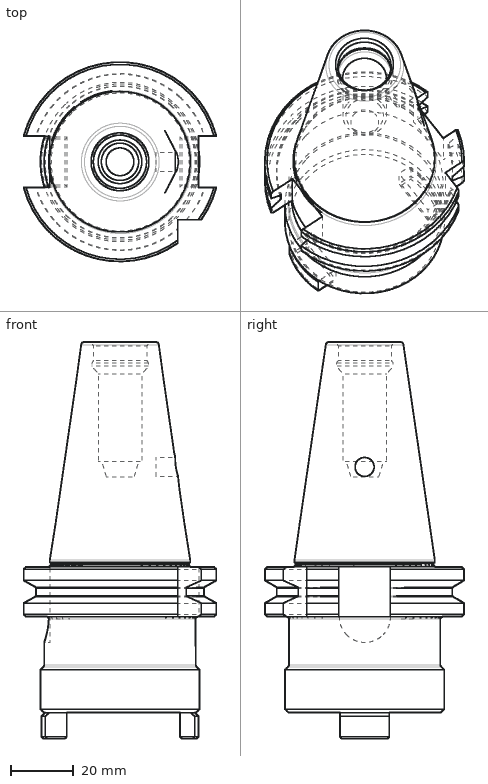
import cadquery as cq
import math

TOTAL_HEIGHT = 126.4
GAUGE_Z = 58.0
FLANGE_TOP = 54.7
FLANGE_BOTTOM = 38.9
COLLAR_BOTTOM = 8.3

TAPER_RATIO = 7 / 24
GAUGE_RADIUS = 22.2
TAPER_END_Z = 57.0
TIP_ROUND = 1.0
NECK_RADIUS = 22.0
TAPER_FOOT_Z = 56.2

FLANGE_DIAMETER = 63.6
FLANGE_RADIUS = FLANGE_DIAMETER / 2
FLANGE_CHAMFER = 0.8
FLANGE_FILLET = 0.8
GROOVE_DIAMETER = 56.0
GROOVE_RADIUS = GROOVE_DIAMETER / 2
GROOVE_MOUTH = 7.2
GROOVE_FLANK_ANGLE = 30.0
GROOVE_FILLET = 0.4

BODY_RADIUS = 24.1
COLLAR_RADIUS = 25.4
COLLAR_TOP = 22.0
COLLAR_CHAMFER = 1.1
BODY_FILLET = 1.0

SLOT_WIDTH = 16.3
DEEP_SLOT_X = 22.4
SHALLOW_SLOT_X = 25.0
NOTCH_OFFSET = 18.5

LUG_RADIUS = 25.0
LUG_WIDTH = 15.8
LUG_CHAMFER = 0.6
LUG_TOP_CHAMFER = 1.1
LEFT_LUG_INNER_X = 17.0
RIGHT_LUG_INNER_X = 19.1

BORE_MOUTH_RADIUS = 9.2
BORE_RADIUS = 8.5
BORE_CHAMFER_DEPTH = 1.3
RELIEF_RADIUS = 9.0
RELIEF_START = 5.8
RELIEF_END = 8.3
RELIEF_FLANK = 0.8
THREAD_RADIUS = 7.0
THREAD_START = 10.1
STEP_DEPTH = 37.9
STEP_RADIUS = 6.0
HOLE_DEPTH = 43.0
HOLE_MID_RADIUS = 5.2
HOLE_END_RADIUS = 4.4

CROSS_HOLE_RADIUS = 3.0
CROSS_HOLE_Z = 86.6
CROSS_HOLE_FLOOR_X = 11.4


def taper_radius(z):
    return GAUGE_RADIUS - (z - GAUGE_Z) * TAPER_RATIO / 2


def turned_blank():
    """Collar, body, flange and taper turned about Z."""
    foot_radius = taper_radius(TAPER_END_Z)
    tip_radius = taper_radius(TOTAL_HEIGHT)
    shoulder_angle = math.radians(45)
    arc_drop = BODY_FILLET * math.sin(shoulder_angle)
    arc_run = BODY_FILLET * (1 - math.cos(shoulder_angle))
    arc_start_radius = BODY_RADIUS + arc_run
    arc_start_z = COLLAR_TOP + COLLAR_RADIUS - arc_start_radius
    profile = (
        cq.Workplane("YZ")
        .moveTo(0, COLLAR_BOTTOM)
        .lineTo(COLLAR_RADIUS - COLLAR_CHAMFER, COLLAR_BOTTOM)
        .lineTo(COLLAR_RADIUS, COLLAR_BOTTOM + COLLAR_CHAMFER)
        .lineTo(COLLAR_RADIUS, COLLAR_TOP)
        .lineTo(arc_start_radius, arc_start_z)
        .tangentArcPoint((BODY_RADIUS, arc_start_z + arc_drop), relative=False)
        .lineTo(BODY_RADIUS, FLANGE_BOTTOM - FLANGE_FILLET)
        .tangentArcPoint((BODY_RADIUS + FLANGE_FILLET, FLANGE_BOTTOM), relative=False)
        .lineTo(FLANGE_RADIUS - FLANGE_CHAMFER, FLANGE_BOTTOM)
        .lineTo(FLANGE_RADIUS, FLANGE_BOTTOM + FLANGE_CHAMFER)
        .lineTo(FLANGE_RADIUS, FLANGE_TOP - FLANGE_CHAMFER)
        .lineTo(FLANGE_RADIUS - FLANGE_CHAMFER, FLANGE_TOP)
        .lineTo(NECK_RADIUS + FLANGE_FILLET, FLANGE_TOP)
        .tangentArcPoint((NECK_RADIUS, FLANGE_TOP + FLANGE_FILLET), relative=False)
        .lineTo(NECK_RADIUS, TAPER_FOOT_Z - (foot_radius - NECK_RADIUS))
        .lineTo(foot_radius, TAPER_FOOT_Z)
        .lineTo(foot_radius, TAPER_END_Z)
        .lineTo(tip_radius, TOTAL_HEIGHT)
        .lineTo(0, TOTAL_HEIGHT)
        .close()
    )
    return profile.revolve(360, (0, 0, 0), (0, 1, 0)).faces(">Z").edges().fillet(TIP_ROUND)


def grip_groove():
    """Ring cutter for the V groove around the flange."""
    depth = FLANGE_RADIUS - GROOVE_RADIUS
    mouth_half = GROOVE_MOUTH / 2
    root_half = mouth_half - depth * math.tan(math.radians(GROOVE_FLANK_ANGLE))
    middle = (FLANGE_TOP + FLANGE_BOTTOM) / 2
    ring = (
        cq.Workplane("YZ")
        .moveTo(GROOVE_RADIUS, middle - root_half)
        .lineTo(FLANGE_RADIUS, middle - mouth_half)
        .lineTo(FLANGE_RADIUS, middle + mouth_half)
        .lineTo(GROOVE_RADIUS, middle + root_half)
        .close()
        .revolve(360, (0, 0, 0), (0, 1, 0))
    )
    return ring.edges(cq.selectors.RadiusNthSelector(0)).fillet(GROOVE_FILLET)


def drive_slot(floor_x, side):
    """Round-ended slot cutter from floor_x outward; side is -1 or +1 along X."""
    half = SLOT_WIDTH / 2
    return (
        cq.Workplane("YZ", origin=(side * floor_x, 0, 0))
        .moveTo(-half, FLANGE_TOP)
        .lineTo(-half, FLANGE_BOTTOM)
        .threePointArc((0, FLANGE_BOTTOM - half), (half, FLANGE_BOTTOM))
        .lineTo(half, FLANGE_TOP)
        .close()
        .extrude(side * (FLANGE_RADIUS - floor_x))
    )


def corner_notch():
    """Square cutter through the flange in the +X, -Y quarter."""
    size = FLANGE_RADIUS - NOTCH_OFFSET
    height = FLANGE_TOP - FLANGE_BOTTOM
    return cq.Workplane("XY", origin=(NOTCH_OFFSET, -FLANGE_RADIUS, FLANGE_BOTTOM)).box(
        size, size, height, centered=False
    )


def driving_lug(inner_x, side):
    """Lug with a round outer face, chamfered below and at the top of the round face."""
    length = LUG_RADIUS - inner_x
    block = cq.Workplane("XY", origin=(side * (inner_x + length / 2), 0, 0)).box(
        length, LUG_WIDTH, COLLAR_BOTTOM, centered=(True, True, False)
    )
    drum = cq.Workplane("XY").circle(LUG_RADIUS).extrude(COLLAR_BOTTOM).faces(">Z").chamfer(LUG_TOP_CHAMFER)
    return block.intersect(drum).faces("<Z").chamfer(LUG_CHAMFER)


def stepped_bore():
    """Blind bore in the small end: chamfered mouth, relief, thread hole and narrowing end."""
    steps = [
        (BORE_MOUTH_RADIUS, 0),
        (BORE_RADIUS, BORE_CHAMFER_DEPTH),
        (BORE_RADIUS, RELIEF_START),
        (RELIEF_RADIUS, RELIEF_START + RELIEF_FLANK),
        (RELIEF_RADIUS, RELIEF_END - RELIEF_FLANK),
        (BORE_RADIUS, RELIEF_END),
        (THREAD_RADIUS, THREAD_START),
        (THREAD_RADIUS, STEP_DEPTH),
        (STEP_RADIUS, STEP_DEPTH),
        (HOLE_MID_RADIUS, (STEP_DEPTH + HOLE_DEPTH) / 2),
        (HOLE_END_RADIUS, HOLE_DEPTH),
    ]
    profile = cq.Workplane("YZ").moveTo(0, TOTAL_HEIGHT)
    for radius, depth in steps:
        profile = profile.lineTo(radius, TOTAL_HEIGHT - depth)
    return profile.lineTo(0, TOTAL_HEIGHT - HOLE_DEPTH).close().revolve(360, (0, 0, 0), (0, 1, 0))


def cross_hole():
    """Radial cutter from the hole floor out through the +X side of the taper."""
    return (
        cq.Workplane("YZ", origin=(CROSS_HOLE_FLOOR_X, 0, CROSS_HOLE_Z))
        .circle(CROSS_HOLE_RADIUS)
        .extrude(GAUGE_RADIUS - CROSS_HOLE_FLOOR_X)
    )


result = (
    turned_blank()
    .cut(grip_groove())
    .cut(drive_slot(DEEP_SLOT_X, -1))
    .cut(drive_slot(SHALLOW_SLOT_X, 1))
    .cut(corner_notch())
    .union(driving_lug(LEFT_LUG_INNER_X, -1))
    .union(driving_lug(RIGHT_LUG_INNER_X, 1))
    .cut(stepped_bore())
    .cut(cross_hole())
)